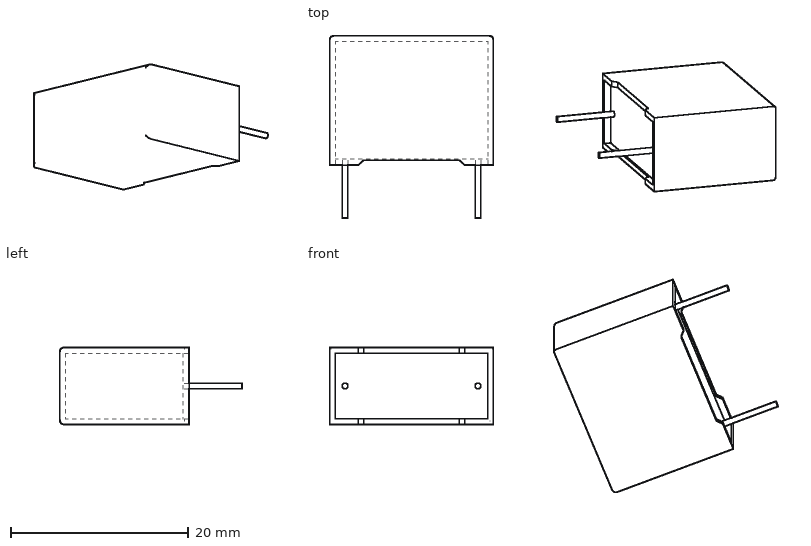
import cadquery as cq

width = 18.5
height = 8.71
overall_length = 20.6
lead_protrusion = 6.0
housing_length = overall_length - lead_protrusion
wall = 0.64
back_edge_radius = 0.5

notch_mouth_width = 11.99
notch_floor_width = 10.82
notch_depth = 0.54

resin_setback = 0.75

lead_diameter = 0.65
lead_spacing = 15.0

lead_tip_y = -lead_protrusion
resin_face_y = resin_setback
resin_back_y = housing_length - wall


def box_along_y(size_x, size_z, start_y, end_y):
    """Box centred on the Y axis, spanning start_y to end_y."""
    return cq.Workplane("XY").box(size_x, end_y - start_y, size_z).translate((0, (start_y + end_y) / 2, 0))


def make_cavity(start_y):
    """Inside volume of the housing, from start_y to its back wall."""
    return box_along_y(width - 2 * wall, height - 2 * wall, start_y, resin_back_y)


def make_notch_cutter():
    """Trapezoidal prism that relieves both long sides of the rim."""
    return (
        cq.Workplane("XY")
        .polyline([
            (-notch_mouth_width / 2, 0),
            (-notch_floor_width / 2, notch_depth),
            (notch_floor_width / 2, notch_depth),
            (notch_mouth_width / 2, 0),
        ])
        .close()
        .extrude(height / 2, both=True)
    )


def make_housing():
    """Box with rounded back edges, a cavity and a notched rim."""
    shell = box_along_y(width, height, 0, housing_length).faces(">Y").edges().fillet(back_edge_radius)
    return shell.cut(make_cavity(0)).cut(make_notch_cutter())


def make_lead(center_x):
    """Straight wire from the resin face out to the lead tip."""
    wire_length = resin_face_y - lead_tip_y
    start = cq.Vector(center_x, lead_tip_y, 0)
    return cq.Solid.makeCylinder(lead_diameter / 2, wire_length, start, cq.Vector(0, 1, 0))


housing = make_housing()
resin = make_cavity(resin_face_y)
leads = [make_lead(side * lead_spacing / 2) for side in (-1, 1)]

result = cq.Compound.makeCompound([housing.val(), resin.val(), *leads])